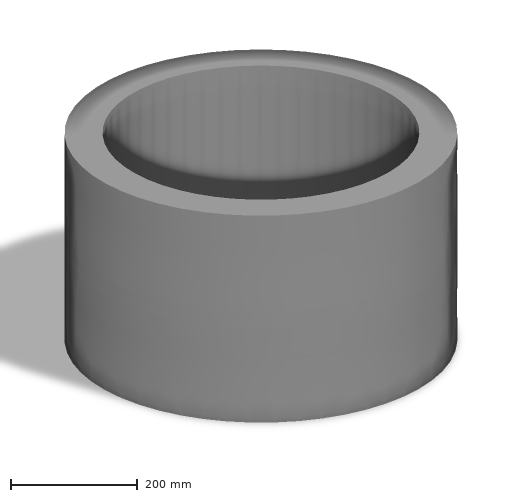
import cadquery as cq

outer_diameter = 621.0
bore_diameter = 500.0
height = 360.0

band_height = 26.0
end_diameter = 620.0

outer_radius = outer_diameter / 2
bore_radius = bore_diameter / 2
end_radius = end_diameter / 2
band_bottom = (height - band_height) / 2
band_top = band_bottom + band_height

wall_section = [
    (bore_radius, 0),
    (end_radius, 0),
    (outer_radius, band_bottom),
    (outer_radius, band_top),
    (end_radius, height),
    (bore_radius, height),
]

result = cq.Workplane("XZ").polyline(wall_section).close().revolve(360, (0, 0), (0, 1))